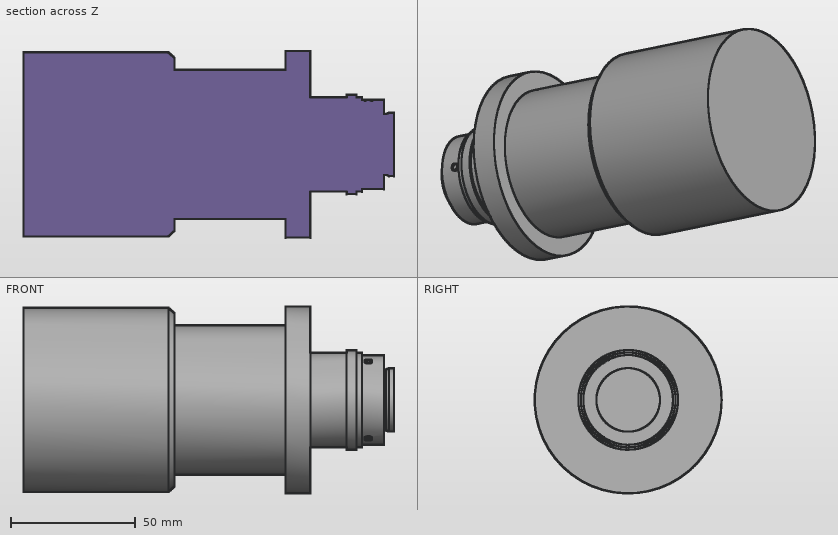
import cadquery as cq

HOOD_RADIUS = 37.0
HOOD_REAR_RADIUS = 34.75
BODY_RADIUS = 30.0
FLANGE_RADIUS = 37.5
MOUNT_RADIUS = 19.0
RING_RADIUS = 20.0
BARREL_RADIUS = 18.0
NECK_RADIUS = 12.25
TIP_RADIUS = 12.75

TOTAL_LENGTH = 148.43
HOOD_CHAMFER_START = 58.0
HOOD_END = 60.5
FLANGE_START = 104.93
FLANGE_END = 114.93
RING_START = 129.43
RING_END = 133.43
MOUNT_END = 135.63
BARREL_END = 144.43
NECK_END = 145.2
TIP_START = 146.43

SCREW_COUNT = 3
SCREW_HOLE_RADIUS = 1.5
SCREW_RADIUS = 1.2
SCREW_GAP_DEPTH = 0.4
SCREW_X = 138.13
FIRST_SCREW_ANGLE = 30.0


def cylinder(start, end, radius):
    """Disc along the X axis between two axial positions."""
    return cq.Workplane("YZ", origin=(start, 0, 0)).circle(radius).extrude(end - start)


def hood():
    """Large front cylinder with a conical rear edge."""
    chamfer_length = HOOD_END - HOOD_CHAMFER_START
    chamfer_height = HOOD_RADIUS - HOOD_REAR_RADIUS
    return cylinder(0, HOOD_END, HOOD_RADIUS).faces(">X").chamfer(chamfer_length, chamfer_height)


def neck():
    """Narrow neck that widens through a short cone to the rear tip."""
    profile = (
        cq.Workplane("XY")
        .moveTo(BARREL_END, 0)
        .lineTo(BARREL_END, NECK_RADIUS)
        .lineTo(NECK_END, NECK_RADIUS)
        .lineTo(TIP_START, TIP_RADIUS)
        .lineTo(TIP_START, 0)
        .close()
    )
    return profile.revolve(360, (0, 0, 0), (1, 0, 0))


def screw_gap(angle):
    """Cutter for the gap around one screw, turned about the X axis from +Z toward -Y."""
    ring = (
        cq.Workplane("XY", origin=(SCREW_X, 0, BARREL_RADIUS - SCREW_GAP_DEPTH))
        .circle(SCREW_HOLE_RADIUS)
        .circle(SCREW_RADIUS)
        .extrude(2 * SCREW_GAP_DEPTH)
    )
    return ring.rotate((0, 0, 0), (1, 0, 0), angle)


result = (
    hood()
    .union(cylinder(HOOD_END, FLANGE_START, BODY_RADIUS))
    .union(cylinder(FLANGE_START, FLANGE_END, FLANGE_RADIUS))
    .union(cylinder(FLANGE_END, MOUNT_END, MOUNT_RADIUS))
    .union(cylinder(RING_START, RING_END, RING_RADIUS))
    .union(cylinder(MOUNT_END, BARREL_END, BARREL_RADIUS))
    .union(neck())
    .union(cylinder(TIP_START, TOTAL_LENGTH, TIP_RADIUS))
)

for index in range(SCREW_COUNT):
    screw_angle = FIRST_SCREW_ANGLE + index * 360 / SCREW_COUNT
    result = result.cut(screw_gap(screw_angle))